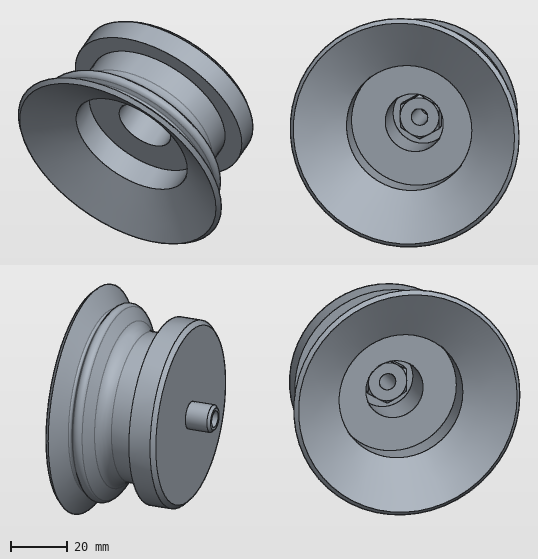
import cadquery as cq
import math

overall_length = 48.4
rim_radius = 41.5
rim_bevel_width = 1.4
rim_bevel_depth = 1.5
flank_angle = math.radians(30)

groove_radius = 0.8
groove_centre_y = 6.7
bead_radius = 2.1
bead_centre_y = 10.0
bead_outer_radius = 36.0
neck_radius = 54.4 / 2
neck_start_y = 19.9
neck_fillet = 6.05
flange_radius = 68.0 / 2
flange_start_y = 29.4
flange_end_y = 39.15
flange_chamfer = 1.6
pin_radius = 10.0 / 2
pin_chamfer = 1.0

cavity_radius = 45.4 / 2
cavity_floor_y = 19.6
bore_radius = 21.0 / 2
bore_floor_y = 34.5
hex_across_flats = 14.0
hex_height = 5.0
through_hole_diameter = 6.0


def polar(centre, radius, angle):
    """Point (radial, axial) on a circle at an angle from the outward radial direction."""
    return centre[0] + radius * math.cos(angle), centre[1] + radius * math.sin(angle)


def y_cylinder(radius, start_y, end_y):
    plane = cq.Workplane("XZ", origin=(0, start_y, 0))
    return plane.circle(radius).extrude(start_y - end_y)


def make_outer_body():
    """Revolved outside: flared rim, rope groove, rounded bead, neck, flange and pin."""
    normal = math.pi / 2 - flank_angle
    bead_centre = (bead_outer_radius - bead_radius, bead_centre_y)
    fillet_centre = (neck_radius + neck_fillet, neck_start_y)

    groove_tangent_y = groove_centre_y - groove_radius * math.sin(normal)
    groove_tangent_r = rim_radius - (groove_tangent_y - rim_bevel_depth) / math.tan(flank_angle)
    groove_centre = (groove_tangent_r + groove_radius * math.cos(normal), groove_centre_y)

    profile = (
        cq.Workplane("XY")
        .lineTo(rim_radius - rim_bevel_width, 0)
        .lineTo(rim_radius, rim_bevel_depth)
        .lineTo(groove_tangent_r, groove_tangent_y)
        .threePointArc(
            polar(groove_centre, groove_radius, math.pi),
            polar(groove_centre, groove_radius, math.pi - normal),
        )
        .lineTo(*polar(bead_centre, bead_radius, -normal))
        .threePointArc(
            polar(bead_centre, bead_radius, 0),
            polar(bead_centre, bead_radius, normal),
        )
        .lineTo(*polar(fillet_centre, neck_fillet, math.pi + normal))
        .threePointArc(
            polar(fillet_centre, neck_fillet, math.pi + normal / 2),
            (neck_radius, neck_start_y),
        )
        .lineTo(neck_radius, flange_start_y)
        .lineTo(flange_radius, flange_start_y)
        .lineTo(flange_radius, flange_end_y - flange_chamfer)
        .lineTo(flange_radius - flange_chamfer, flange_end_y)
        .lineTo(pin_radius, flange_end_y)
        .lineTo(pin_radius, overall_length - pin_chamfer)
        .lineTo(pin_radius - pin_chamfer, overall_length)
        .lineTo(0, overall_length)
        .close()
    )
    return profile.revolve(360, (0, 0, 0), (0, 1, 0))


def make_cavity():
    """Conical mouth, straight recess and central bore."""
    mouth_radius = rim_radius - rim_bevel_width
    mouth_depth = (mouth_radius - cavity_radius) * math.tan(flank_angle)
    profile = cq.Workplane("XY").polyline([
        (0, 0),
        (mouth_radius, 0),
        (cavity_radius, mouth_depth),
        (cavity_radius, cavity_floor_y),
        (bore_radius, cavity_floor_y),
        (bore_radius, bore_floor_y),
        (0, bore_floor_y),
    ]).close()
    return profile.revolve(360, (0, 0, 0), (0, 1, 0))


def make_hex_head():
    """Hexagonal head on the bore floor, corners pointing along Z and bevelled at the front."""
    front_y = bore_floor_y - hex_height
    corner_diameter = hex_across_flats / math.cos(math.pi / 6)
    hexagon = (
        cq.Workplane("XZ", origin=(0, bore_floor_y, 0))
        .transformed(rotate=(0, 0, 90))
        .polygon(6, corner_diameter)
        .extrude(hex_height)
    )
    face_radius = hex_across_flats / 2
    cone_growth = hex_height / math.tan(flank_angle)
    cone = cq.Workplane("XY").polyline([
        (0, front_y),
        (face_radius, front_y),
        (face_radius + cone_growth, bore_floor_y),
        (0, bore_floor_y),
    ]).close().revolve(360, (0, 0, 0), (0, 1, 0))
    return hexagon.intersect(cone)


through_hole = y_cylinder(through_hole_diameter / 2, 0, overall_length)
result = make_outer_body().cut(make_cavity()).union(make_hex_head()).cut(through_hole)